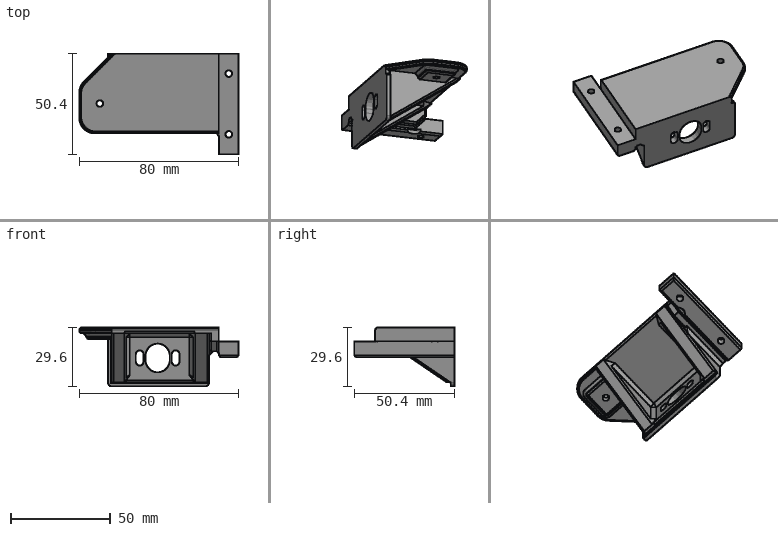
import cadquery as cq
import math


plate_length = 70.0
plate_depth = 40.0
plate_thickness = 3.0
plate_corner_radius = 8.0
plate_corner_cut = 16.4
plate_edge_steps = [(0.93, 0.30), (0.57, 0.79)]

boss_left = 4.85
boss_right = 19.0
boss_front = -31.8
boss_back = -18.45
boss_flare = 2.75
boss_steps = [(1.0, 1.1), (0.75, 0.45), (0.5, 0.1), (0.75, 1.0)]

screw_diameter = 3.2
plate_hole_x = 10.4
plate_hole_y = -25.0

bar_width = 10.0
bar_length = 50.42
bar_height = 8.0
bar_drop = 7.0
bar_hole_inset = 10.0
bar_chamfer = 1.0

notch_width = 7.0
notch_depth = 2.0
notch_y = -35.0

wall_left = 14.4
wall_right = 65.1
wall_bottom = -29.6
wall_top = -5.0
wall_thickness = 2.0
wall_corner_radius = 2.0
wall_shoulder = 1.0

housing_left = 16.3
housing_bottom = -27.5
housing_foot = 0.5
pocket_left = 23.5
pocket_right = 57.2
pocket_back = -4.0
pocket_corner = 2.0
rim_chamfer = 1.0

web_bottom = -12.0
web_foot = 2.0
bar_foot = 1.0

motor_x = 39.35
motor_z = -15.3
shaft_width = 12.0
shaft_height = 14.25
slot_width = 3.75
slot_height = 7.5
slot_offset = 9.0

slope_start = (-plate_depth, -plate_thickness)
slope_end = (pocket_back, housing_bottom)
slope_angle = math.degrees(math.atan2(slope_start[1] - slope_end[1], slope_end[0] - slope_start[0]))
slope_length = math.dist(slope_start, slope_end)
plate_middle = -plate_thickness / 2
bar_top = -bar_drop
bar_bottom = bar_top - bar_height
overlap = 1.0


def box(x_range, y_range, z_range):
    """Box between the given low and high limits."""
    size = [high - low for low, high in (x_range, y_range, z_range)]
    corner = (x_range[0], y_range[0], z_range[0])
    return cq.Workplane("XY").box(*size, centered=False).translate(corner)


def prism_x(points, x_start, x_end):
    """Extrude a (Y, Z) outline along X."""
    return cq.Workplane("YZ").workplane(offset=x_start).polyline(points).close().extrude(x_end - x_start)


def prism_y(points, y_start, y_end):
    """Extrude an (X, Z) outline along -Y, from y_start forward to y_end."""
    return cq.Workplane("XZ").workplane(offset=-y_start).polyline(points).close().extrude(y_start - y_end)


def stack_bevels(outline, start_z, steps, direction):
    """Stack tapered layers on a closed outline; each step holds a height and an inset."""
    layers = cq.Workplane("XY")
    z = start_z
    total_inset = 0
    for height, inset in steps:
        base = cq.Workplane("XY").add(outline).toPending()
        if total_inset:
            base = base.offset2D(-total_inset)
        taper = math.degrees(math.atan2(inset, height))
        layer = base.extrude(direction * height, taper=taper)
        layers = layers.union(layer.translate((0, 0, z)))
        z += direction * height
        total_inset += inset
    return layers


def make_plate():
    """Plate with one cut corner and one round corner; left, front and cut edges are bevelled."""
    far_x = plate_length + plate_corner_radius
    far_y = plate_corner_radius
    blank = (
        cq.Workplane("XY")
        .polyline([
            (far_x, far_y),
            (plate_corner_cut + far_y, far_y),
            (0, -plate_corner_cut),
            (0, -plate_depth),
            (far_x, -plate_depth),
        ])
        .close()
        .extrude(plate_thickness)
        .edges("|Z and <X")
        .fillet(plate_corner_radius)
    )
    outline = blank.faces("<Z").wires().val()
    keep = box((0, plate_length), (-plate_depth, 0), (-plate_thickness, 0))
    upper = stack_bevels(outline, plate_middle, plate_edge_steps, 1)
    lower = stack_bevels(outline, plate_middle, plate_edge_steps, -1)
    front_band = box(
        (housing_left, plate_length),
        (-plate_depth, -plate_depth + plate_thickness),
        (-plate_thickness, plate_middle),
    )
    return upper.union(lower).intersect(keep).union(front_band)


def make_boss():
    """Low boss with a flared foot and a bevelled lower edge."""
    core = box((boss_left, boss_right), (boss_front, boss_back), (0, plate_thickness))
    outline = core.faces("<Z").wires().toPending().offset2D(boss_flare).val()
    return stack_bevels(outline, -plate_thickness, boss_steps, -1)


def make_back_wall():
    """Wall with round lower corners and a chamfered upper left shoulder."""
    wall = box((wall_left, wall_right), (-wall_thickness, 0), (wall_bottom, wall_top))
    wall = wall.edges("|Y and <Z").fillet(wall_corner_radius)
    return wall.edges("|Y and >Z and <X").chamfer(wall_shoulder)


def make_housing():
    """Wedge under the plate with chamfered outer slope edges and a chamfered foot."""
    side = [
        (0, plate_middle),
        (-plate_depth, plate_middle),
        slope_start,
        slope_end,
        (0, housing_bottom),
    ]
    housing = prism_x(side, housing_left, wall_right)
    slope_center = [(a + b) / 2 for a, b in zip(slope_start, slope_end)]
    for x in (housing_left, wall_right):
        edge = cq.selectors.NearestToPointSelector((x, *slope_center))
        housing = housing.edges(edge).chamfer(rim_chamfer)

    foot_width = wall_right - housing_left + 2 * housing_foot
    foot_height = -housing_bottom + housing_foot
    foot = (
        cq.Workplane("XZ", origin=((housing_left + wall_right) / 2, -wall_thickness, -foot_height / 2))
        .rect(foot_width, foot_height)
        .extrude(housing_foot, taper=45)
    )
    keep = box((wall_left, wall_right), (-plate_depth, 0), (wall_bottom, -plate_thickness))
    return housing.union(foot.intersect(keep))


def make_pocket():
    """Pocket with chamfered back corners and a flared rim along the slope."""
    front = -plate_depth - overlap
    below = wall_bottom - overlap
    pocket = box((pocket_left, pocket_right), (front, pocket_back), (below, -plate_thickness))
    pocket = pocket.edges("(>Y and (not <Z)) or (|Y and >Z)").chamfer(pocket_corner)

    flare_depth = rim_chamfer + pocket_corner
    flare_middle = (pocket_left + pocket_right) / 2
    half_width = (pocket_right - pocket_left) / 2 + rim_chamfer
    flare = (
        cq.Workplane("XZ")
        .polyline([
            (-half_width, 0),
            (half_width, 0),
            (half_width - flare_depth, flare_depth),
            (flare_depth - half_width, flare_depth),
        ])
        .close()
        .extrude(slope_length + 2 * overlap, both=True)
        .rotate((0, 0, 0), (1, 0, 0), -slope_angle)
        .translate((flare_middle, *slope_end))
    )
    keep = box((housing_left, wall_right), (front, pocket_back), (below, -plate_thickness))
    return pocket.union(flare.intersect(keep))


def make_pocket_lips():
    """Chamfers on the front edge of the pocket ceiling and on its lower back edge."""
    lip_top = -plate_thickness + rim_chamfer
    front_lip = prism_x(
        [
            (-plate_depth, -plate_thickness),
            (-plate_depth, lip_top),
            (-plate_depth + rim_chamfer, -plate_thickness),
        ],
        pocket_left - rim_chamfer,
        pocket_right + rim_chamfer,
    )
    lip_outline = [
        (pocket_left - rim_chamfer, -plate_thickness),
        (pocket_left - rim_chamfer / 2, lip_top),
        (pocket_right + rim_chamfer / 2, lip_top),
        (pocket_right + rim_chamfer, -plate_thickness),
    ]
    front_lip = front_lip.intersect(prism_y(lip_outline, 0, -plate_depth))
    back_lip = prism_x(
        [
            (pocket_back, housing_bottom),
            (pocket_back, housing_bottom + rim_chamfer),
            (pocket_back + rim_chamfer, housing_bottom),
        ],
        pocket_left,
        pocket_right,
    )
    return front_lip.union(back_lip)


def make_bar():
    """Bar with chamfered lower side and front edges."""
    bar = box((plate_length, plate_length + bar_width), (-bar_length, 0), (bar_bottom, bar_top))
    return bar.faces("<Z").edges("not >Y").chamfer(bar_chamfer)


def make_web():
    """Web from housing to bar, sloped at the front, with chamfered edges and feet."""
    lower_front = -plate_depth + (bar_top - web_bottom)
    side = [
        (0, -plate_thickness),
        slope_start,
        (-plate_depth, bar_top),
        (lower_front, web_bottom),
        (0, web_bottom),
    ]
    web = prism_x(side, wall_right, plate_length)
    web = web.faces("<X").edges("not(>Y or >Z)").chamfer(rim_chamfer)
    keep_below = prism_x(
        [(0, -plate_thickness), slope_start, slope_end, (0, housing_bottom)], wall_right, plate_length
    )
    foot = prism_y(
        [
            (wall_right, web_bottom - web_foot),
            (wall_right, web_bottom + overlap),
            (wall_right + web_foot, web_bottom + overlap),
            (wall_right + web_foot, web_bottom),
        ],
        0,
        lower_front,
    ).intersect(keep_below)
    return web.union(foot).union(make_bar_foot(lower_front))


def make_bar_foot(lower_front):
    """Chamfered foot where the sloped and lower faces of the web meet the bar."""
    rise = -web_bottom
    outline = [(0, 0), (lower_front - rise, 0), (lower_front, web_bottom), (0, web_bottom)]
    return (
        cq.Workplane("YZ", origin=(plate_length, 0, 0))
        .polyline(outline)
        .close()
        .offset2D(bar_foot, "intersection")
        .extrude(-bar_foot, taper=45)
        .intersect(box((wall_right, plate_length), (-bar_length, 0), (bar_bottom, bar_top)))
    )


def make_bar_notch():
    """Shallow upright notch, open at the bottom of the bar and ending below the foot of the web."""
    radius = ((notch_width / 2) ** 2 + notch_depth**2) / (2 * notch_depth)
    center_x = plate_length + notch_depth - radius
    notch = cq.Workplane("XY", origin=(center_x, notch_y, bar_bottom)).circle(radius)
    notch = notch.extrude(web_bottom - bar_foot - bar_bottom)
    keep = box((plate_length, plate_length + bar_width), (-bar_length, 0), (bar_bottom, bar_top))
    return notch.intersect(keep)


def motor_slot(x, width, height):
    """Upright slot through the back wall."""
    return (
        cq.Workplane("XZ", origin=(x, 0, motor_z))
        .slot2D(height, width, angle=90)
        .extrude(overlap - pocket_back + pocket_corner)
        .translate((0, overlap, 0))
    )


def screw_hole(x, y):
    """Vertical screw hole through the full height of the part."""
    hole = cq.Workplane("XY", origin=(x, y, wall_bottom)).circle(screw_diameter / 2)
    return hole.extrude(-wall_bottom + overlap)


result = make_housing().cut(make_pocket())
for body in (make_plate(), make_boss(), make_back_wall(), make_web(), make_bar()):
    result = result.union(body)
result = result.cut(make_pocket_lips()).cut(make_bar_notch())

result = result.cut(motor_slot(motor_x, shaft_width, shaft_height))
for side in (-1, 1):
    result = result.cut(motor_slot(motor_x + side * slot_offset, slot_width, slot_height))

bar_hole_x = plate_length + bar_width / 2
screw_places = [
    (plate_hole_x, plate_hole_y),
    (bar_hole_x, -bar_hole_inset),
    (bar_hole_x, bar_hole_inset - bar_length),
]
for x, y in screw_places:
    result = result.cut(screw_hole(x, y))